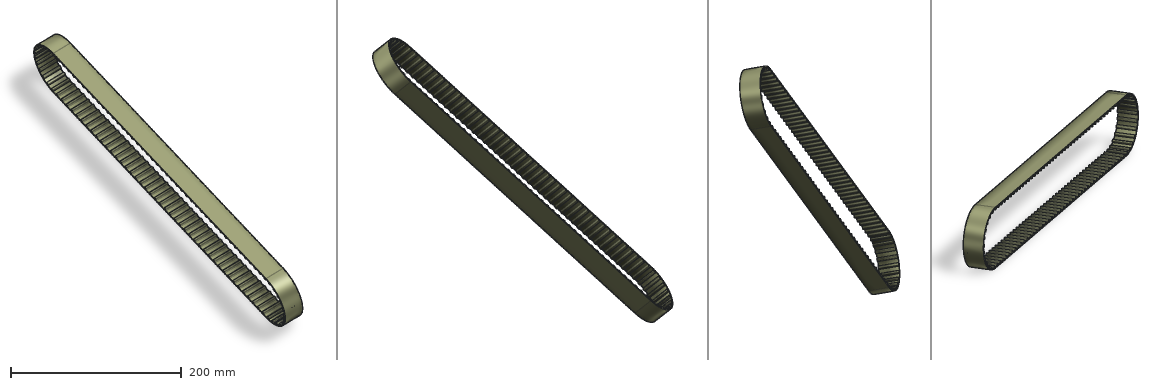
import cadquery as cq
import math

CENTER_DISTANCE = 413.71
OUTER_RADIUS = 38.1
BELT_WIDTH = 25.4

BACKING_THICKNESS = 1.69
TOOTH_HEIGHT = 1.91
TOOTH_ROOT_WIDTH = 4.05
FLANK_ANGLE = 20.0
TIP_FILLET = 0.51
ROOT_FILLET = 0.7

TOOTH_COUNT = 111
PITCH = 9.535
FIRST_TOOTH_OFFSET = 0.45

ROOT_RADIUS = OUTER_RADIUS - BACKING_THICKNESS
HALF_RUN = CENTER_DISTANCE / 2
LOOP_LENGTH = TOOTH_COUNT * PITCH
PITCH_ARC = LOOP_LENGTH / 2 - CENTER_DISTANCE
PITCH_RADIUS = PITCH_ARC / math.pi

FOOT_DEPTH = 0.5
HALF_ROOT = TOOTH_ROOT_WIDTH / 2
HALF_TIP = HALF_ROOT - TOOTH_HEIGHT * math.tan(math.radians(FLANK_ANGLE))
HALF_FOOT = HALF_ROOT + 2 * ROOT_FILLET
SELECTION_MARGIN = 0.05


def make_stadium(radius):
    """Solid with the loop's outline at the given end radius."""
    length = CENTER_DISTANCE + 2 * radius
    return cq.Workplane("XZ").slot2D(length, 2 * radius).extrude(BELT_WIDTH / 2, both=True)


def make_tooth():
    """One tooth at the bottom of an end circle centered on the origin, pointing up."""
    root = -ROOT_RADIUS
    foot = root - FOOT_DEPTH
    tip = root + TOOTH_HEIGHT
    profile = [
        (-HALF_FOOT, foot),
        (HALF_FOOT, foot),
        (HALF_FOOT, root),
        (HALF_ROOT, root),
        (HALF_TIP, tip),
        (-HALF_TIP, tip),
        (-HALF_ROOT, root),
        (-HALF_FOOT, root),
    ]
    root_corners = cq.selectors.BoxSelector(
        (-HALF_ROOT - SELECTION_MARGIN, -BELT_WIDTH, root - SELECTION_MARGIN),
        (HALF_ROOT + SELECTION_MARGIN, BELT_WIDTH, root + SELECTION_MARGIN),
    )
    tooth = cq.Workplane("XZ").polyline(profile).close().extrude(BELT_WIDTH / 2, both=True)
    tooth = tooth.faces(">Z").edges("|Y").fillet(TIP_FILLET)
    return tooth.edges(root_corners).fillet(ROOT_FILLET)


def locate_on_loop(distance):
    """End-circle center X and turn angle at a distance along the pitch line.

    The distance starts at the middle of the lower run and grows toward +X.
    """
    if distance < HALF_RUN:
        return distance, 0.0
    distance -= HALF_RUN
    if distance < PITCH_ARC:
        return HALF_RUN, math.degrees(distance / PITCH_RADIUS)
    distance -= PITCH_ARC
    if distance < CENTER_DISTANCE:
        return HALF_RUN - distance, 180.0
    distance -= CENTER_DISTANCE
    if distance < PITCH_ARC:
        return -HALF_RUN, 180.0 + math.degrees(distance / PITCH_RADIUS)
    distance -= PITCH_ARC
    return distance - HALF_RUN, 0.0


def make_teeth():
    """All teeth, spaced evenly around the loop."""
    tooth = make_tooth()
    teeth = []
    for index in range(TOOTH_COUNT):
        center_x, angle = locate_on_loop(FIRST_TOOTH_OFFSET + index * PITCH)
        turned = tooth.rotate((0, 0, 0), (0, 1, 0), -angle)
        teeth.append(turned.translate((center_x, 0, 0)).val())
    return teeth


backing = make_stadium(OUTER_RADIUS).cut(make_stadium(ROOT_RADIUS))
belt = backing.val().fuse(*make_teeth()).clean()
result = cq.Workplane(obj=belt.Solids()[0])